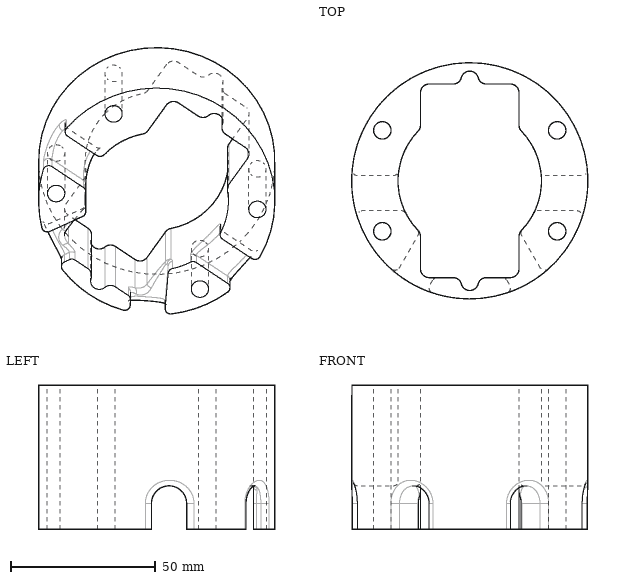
import cadquery as cq
import math

outer_radius = 41.0
height = 50.0

pitch_radius = 35.0
hole_diameter = 6.0
hole_angles = (30, 150, 210, 330)
lobe_angles = (90, 270)

bore_radius = 24.85
pocket_width = 34.1
pocket_length = 67.1
cavity_fillet = 2.95

window_width = 12.1
window_spring_height = 9.0
window_fillet = 2.0
side_window_offset = -4.3
side_window_start = 16.4
angled_window_start = 20.5
angled_window_directions = (240, 300)


def pitch_point(angle):
    """Point on the pitch circle at an angle in degrees."""
    radians = math.radians(angle)
    return (pitch_radius * math.cos(radians), pitch_radius * math.sin(radians))


def bores(angles):
    """Full-height cylinders at the given pitch circle angles."""
    points = [pitch_point(angle) for angle in angles]
    return cq.Workplane("XY").pushPoints(points).circle(hole_diameter / 2).extrude(height)


def cavity():
    """Bore, pocket and lobes joined, with every vertical corner rounded."""
    pocket = cq.Workplane("XY").rect(pocket_width, pocket_length).extrude(height)
    bore = cq.Workplane("XY").circle(bore_radius).extrude(height)
    joined = pocket.union(bore).union(bores(lobe_angles))
    half_width = pocket_width / 2
    half_length = pocket_length / 2
    bore_corner_y = math.sqrt(bore_radius**2 - half_width**2)
    lobe_corner_x = math.sqrt((hole_diameter / 2) ** 2 - (pitch_radius - half_length) ** 2)
    corners = (
        (half_width, half_length),
        (half_width, bore_corner_y),
        (lobe_corner_x, half_length),
    )
    for x, y in corners:
        for x_sign in (-1, 1):
            for y_sign in (-1, 1):
                corner = (x_sign * x, y_sign * y, height / 2)
                joined = joined.edges(cq.selectors.NearestToPointSelector(corner)).fillet(cavity_fillet)
    return joined


def window(direction, start, offset_y=0):
    """Arched cutter running outward from the cavity in a direction in degrees."""
    half_width = window_width / 2
    return (
        cq.Workplane("YZ")
        .workplane(offset=start)
        .moveTo(-half_width, 0)
        .lineTo(-half_width, window_spring_height)
        .threePointArc((0, window_spring_height + half_width), (half_width, window_spring_height))
        .lineTo(half_width, 0)
        .close()
        .extrude(outer_radius)
        .rotate((0, 0, 0), (0, 0, 1), direction)
        .translate((0, offset_y, 0))
    )


def window_rims(solid):
    """Rising edges that outline the windows on the outer and cavity walls."""
    flat_tolerance = 0.1
    window_top = window_spring_height + window_width / 2 + flat_tolerance

    def is_rim(edge):
        box = edge.BoundingBox()
        return box.zmax < window_top and box.zlen > flat_tolerance

    return solid.edges().filter(is_rim)


body = cq.Workplane("XY").circle(outer_radius).extrude(height)
body = body.cut(cavity()).cut(bores(hole_angles))
for direction in (0, 180):
    body = body.cut(window(direction, side_window_start, side_window_offset))
for direction in angled_window_directions:
    body = body.cut(window(direction, angled_window_start))

result = window_rims(body).fillet(window_fillet)